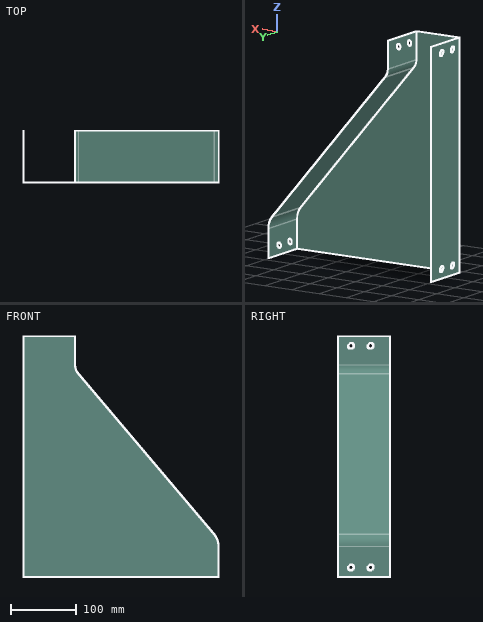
import cadquery as cq

width = 300.0
depth = 80.0
height = 370.0
sheet = 0.8

neck_width = 80.0
neck_height = 51.7
toe_height = 58.3
neck_bend_radius = 20.0
toe_bend_radius = 30.0

slot_length = 10.5
slot_width = 7.0
slot_depths = (20.0, 50.0)
slot_end_distance = 15.0
left_slot_angle = 135.0
right_slot_angle = 45.0


def round_bend(block, x, z, radius):
    """Round the edge that runs along Y through the point (x, z)."""
    edge = cq.selectors.NearestToPointSelector((x, depth / 2, z))
    return block.edges(edge).fillet(radius)


def solid_body():
    """Full-depth block with the outline of the front panel and its two rounded bends."""
    outline = [
        (0, 0),
        (width, 0),
        (width, toe_height),
        (neck_width, height - neck_height),
        (neck_width, height),
        (0, height),
    ]
    block = cq.Workplane("XZ").polyline(outline).close().extrude(-depth)
    block = round_bend(block, width, toe_height, toe_bend_radius)
    return round_bend(block, neck_width, height - neck_height, neck_bend_radius)


def hollow(block):
    """Keep the front panel, the left wall and the folded right wall; the ends and back are open."""
    return block.faces(">Y or >Z or <Z").shell(-sheet)


def wall_slots(x_start, x_end, angle):
    """Cutters for the four slots of one side wall, tilted by the angle from +Y toward +Z."""
    centers = [(y, z) for y in slot_depths for z in (slot_end_distance, height - slot_end_distance)]
    slots = cq.Workplane("YZ", origin=(x_start, 0, 0)).pushPoints(centers)
    return slots.slot2D(slot_length, slot_width, angle).extrude(x_end - x_start)


inside_x = neck_width / 2
result = hollow(solid_body())
result = result.cut(wall_slots(0, inside_x, left_slot_angle))
result = result.cut(wall_slots(inside_x, width, right_slot_angle))